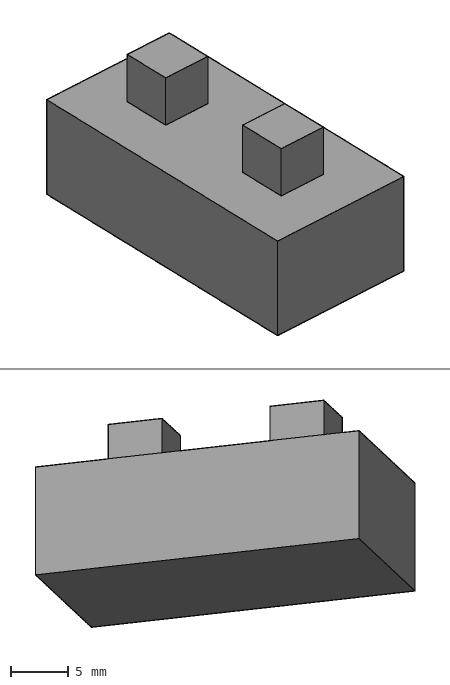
import cadquery as cq

length = 30.0
width = length / 2
peg_side = length / 6
base_height = 2 * peg_side
peg_spacing = length / 2

base = cq.Workplane("XY").box(length, width, base_height, centered=(True, True, False))

pegs = (
    cq.Workplane("XY", origin=(0, 0, base_height))
    .pushPoints([(-peg_spacing / 2, 0), (peg_spacing / 2, 0)])
    .box(peg_side, peg_side, peg_side, centered=(True, True, False))
)

result = base.union(pegs)